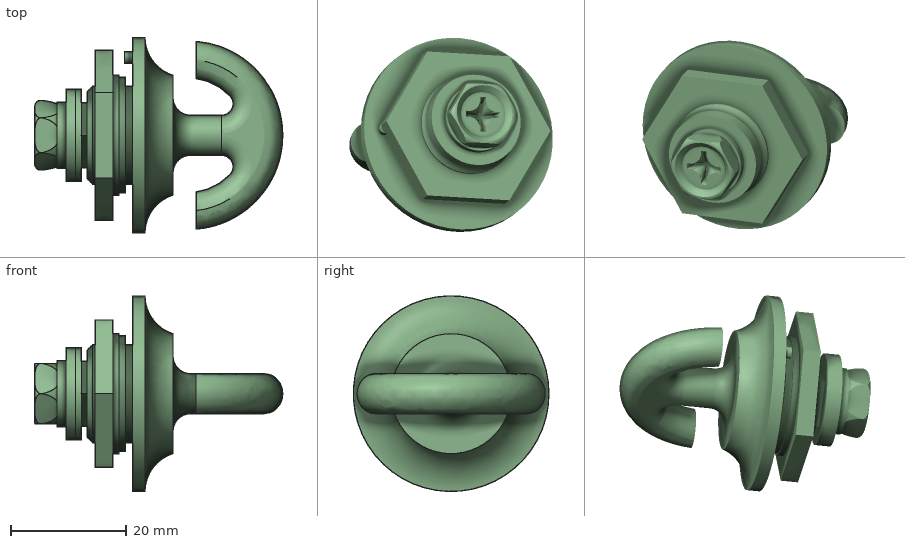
import cadquery as cq
import math

OVERALL_LENGTH = 43.1
HEAD_HEIGHT = 3.92
SPRING_WASHER_THICK = 1.55
PLAIN_WASHER_THICK = 1.6
SQUARE_WASHER_THICK = 1.05
NECK_GAP = 1.0
NUT_TO_SLEEVE_END = 1.42
NUT_THICK = 3.05
SEAL_WASHER_THICK = 1.05
LOCK_WASHER_THICK = 1.15
LOCK_WASHER_TO_FLANGE = 1.25
FLANGE_THICK = 2.15
BELL_LENGTH = 4.85

SPRING_WASHER_X = HEAD_HEIGHT
PLAIN_WASHER_X = SPRING_WASHER_X + SPRING_WASHER_THICK
NECK_X = PLAIN_WASHER_X + PLAIN_WASHER_THICK
SLEEVE_X = NECK_X + SQUARE_WASHER_THICK + NECK_GAP
NUT_X = SLEEVE_X + NUT_TO_SLEEVE_END
SEAL_WASHER_X = NUT_X + NUT_THICK
LOCK_WASHER_X = SEAL_WASHER_X + SEAL_WASHER_THICK
FLANGE_X = LOCK_WASHER_X + LOCK_WASHER_THICK + LOCK_WASHER_TO_FLANGE
BELL_X = FLANGE_X + FLANGE_THICK
BELL_END_X = BELL_X + BELL_LENGTH

HEAD_FLATS = 10.5
HEAD_CORNER_RADIUS = HEAD_FLATS / 2 / math.cos(math.radians(30))
HEAD_ROUNDING = 1.08
HEAD_TAPER_MIDDLE_X = 2.6
HEAD_TAPER_MIDDLE_RADIUS = 5.85
HEAD_TAPER_END_X = 3.65
HEAD_TAPER_END_RADIUS = 5.55
HEAD_BACK_RADIUS = 5.45
BOWL_RIM_RADIUS = HEAD_CORNER_RADIUS - HEAD_ROUNDING
BOWL_FLOOR_RADIUS = 3.95
BOWL_DEPTH = 1.0
SHANK_RADIUS = 3.0
SHANK_DEPTH_IN_NECK = 10.0

WING_SPAN = 6.2
WING_WIDTH = 1.0
WING_FLOOR_SPAN = 4.6
WING_FLOOR_WIDTH = 0.6
WING_DEPTH = 1.72
RECESS_TIP_DEPTH = 2.35
THROAT_REACH = 2.15
THROAT_HALF_WIDTH = 0.6
THROAT_MIDDLE = 1.1
THROAT_FLOOR_RATIO = 0.4

SPRING_WASHER_RADIUS = 5.78
PLAIN_WASHER_RADIUS = 8.0
SEAL_WASHER_RADIUS = 10.47
LOCK_WASHER_RADIUS = 10.1
NUT_FLATS = 25.6

NECK_SIDE = 8.0
SLEEVE_RADIUS = 8.55
SLEEVE_CHAMFER = 1.0
FLANGE_DIAMETER = 34.0
FLANGE_RADIUS = FLANGE_DIAMETER / 2
BELL_CURVE_RADIUS = 6.9
PIN_RADIUS = 1.05
PIN_LENGTH = 1.42
PIN_Y = 13.5

SHAFT_RADIUS = 3.5
SHAFT_ROOT_FILLET = 3.0
HOOK_OUTER_RADIUS = 16.38
HOOK_INNER_RADIUS = 9.9
HOOK_CENTRE_X = OVERALL_LENGTH - HOOK_OUTER_RADIUS
HOOK_TIP_X = 28.05
HOOK_HALF_WIDTH = (HOOK_OUTER_RADIUS - HOOK_INNER_RADIUS) / 2
HOOK_MID_RADIUS = HOOK_INNER_RADIUS + HOOK_HALF_WIDTH
NOTCH_RADIUS = 2.0

NOTCH_Y = SHAFT_RADIUS + NOTCH_RADIUS
NOTCH_OFFSET = HOOK_INNER_RADIUS - NOTCH_RADIUS
NOTCH_X = HOOK_CENTRE_X + math.sqrt(NOTCH_OFFSET**2 - NOTCH_Y**2)
NOTCH_ANGLE = math.asin(NOTCH_Y / NOTCH_OFFSET)
NOTCH_MID_RADIUS = NOTCH_RADIUS + HOOK_HALF_WIDTH


def cylinder(x, length, radius):
    """Cylinder on the X axis from x to x + length."""
    return cq.Workplane("YZ", origin=(x, 0, 0)).circle(radius).extrude(length)


def ring(x, thickness, outer_radius, bore_radius):
    """Flat ring on the X axis."""
    return cylinder(x, thickness, outer_radius).cut(cylinder(x, thickness, bore_radius))


def hexagon(x, length, flats):
    """Hexagonal prism on the X axis with two flats facing up and down."""
    corner_diameter = flats / math.cos(math.radians(30))
    return cq.Workplane("YZ", origin=(x, 0, 0)).polygon(6, corner_diameter).extrude(length)


def square_bar(x, length):
    """Square bar on the X axis with its edges up, down and to the sides."""
    turned = cq.Workplane("YZ", origin=(x, 0, 0)).transformed(rotate=(0, 0, 45))
    return turned.rect(NECK_SIDE, NECK_SIDE).extrude(length)


def turn(profile):
    """Revolve a closed (x, radius) profile about the X axis."""
    return profile.close().revolve(360, (0, 0, 0), (1, 0, 0))


def throat_outline(plane, ratio):
    """Star of four inward arcs joined by short ends across the wings."""
    near = THROAT_HALF_WIDTH * ratio
    far = THROAT_REACH * ratio
    middle = THROAT_MIDDLE * ratio
    outline = plane.moveTo(far, -near)
    for cosine, sine in ((1, 0), (0, 1), (-1, 0), (0, -1)):
        quarter = [
            (y * cosine - z * sine, y * sine + z * cosine)
            for y, z in ((far, near), (middle, middle), (near, far))
        ]
        outline = outline.lineTo(*quarter[0]).threePointArc(quarter[1], quarter[2])
    return outline.close()


def cross_recess():
    mouth = cq.Workplane("YZ", origin=(BOWL_DEPTH, 0, 0))
    throat = throat_outline(mouth, 1)
    throat = throat_outline(throat.workplane(offset=WING_DEPTH), THROAT_FLOOR_RATIO).loft(ruled=True)
    wing = (
        mouth.rect(WING_SPAN, WING_WIDTH)
        .workplane(offset=WING_DEPTH)
        .rect(WING_FLOOR_SPAN, WING_FLOOR_WIDTH)
        .loft(ruled=True)
    )
    wing_floor_x = BOWL_DEPTH + WING_DEPTH
    wing_tip = (
        cq.Workplane("XY")
        .moveTo(wing_floor_x, -WING_FLOOR_SPAN / 2)
        .lineTo(wing_floor_x, WING_FLOOR_SPAN / 2)
        .lineTo(BOWL_DEPTH + RECESS_TIP_DEPTH, 0)
        .close()
        .extrude(WING_FLOOR_WIDTH / 2, both=True)
    )
    recess = throat
    for angle in (0, 90):
        for cutter in (wing, wing_tip):
            recess = recess.union(cutter.rotate((0, 0, 0), (1, 0, 0), angle))
    return recess


def make_screw():
    arc_x = HEAD_ROUNDING * (1 - math.sqrt(0.5))
    arc_radius = BOWL_RIM_RADIUS + HEAD_ROUNDING * math.sqrt(0.5)
    envelope = turn(
        cq.Workplane("XY")
        .moveTo(0, 0)
        .lineTo(0, BOWL_RIM_RADIUS)
        .threePointArc((arc_x, arc_radius), (HEAD_ROUNDING, HEAD_CORNER_RADIUS))
        .threePointArc(
            (HEAD_TAPER_MIDDLE_X, HEAD_TAPER_MIDDLE_RADIUS), (HEAD_TAPER_END_X, HEAD_TAPER_END_RADIUS)
        )
        .lineTo(HEAD_HEIGHT, HEAD_BACK_RADIUS)
        .lineTo(HEAD_HEIGHT, 0)
    )
    bowl = turn(
        cq.Workplane("XY")
        .moveTo(0, 0)
        .lineTo(0, BOWL_RIM_RADIUS)
        .lineTo(BOWL_DEPTH, BOWL_FLOOR_RADIUS)
        .lineTo(BOWL_DEPTH, 0)
    )
    head = hexagon(0, HEAD_HEIGHT, HEAD_FLATS).intersect(envelope)
    shank = cylinder(HEAD_HEIGHT, NECK_X + SHANK_DEPTH_IN_NECK - HEAD_HEIGHT, SHANK_RADIUS)
    return head.union(shank).cut(bowl).cut(cross_recess())


def make_square_washer():
    disc = cylinder(NECK_X, SQUARE_WASHER_THICK, PLAIN_WASHER_RADIUS)
    return disc.cut(square_bar(NECK_X, SQUARE_WASHER_THICK))


def make_nut():
    return hexagon(NUT_X, NUT_THICK, NUT_FLATS).cut(cylinder(NUT_X, NUT_THICK, SLEEVE_RADIUS))


def bell_point(angle):
    """Point (x, radius) on the flare of the bell, at an angle swept from the flange rim."""
    return (
        BELL_X + BELL_CURVE_RADIUS * (1 - math.cos(angle)),
        FLANGE_RADIUS - BELL_CURVE_RADIUS * math.sin(angle),
    )


def anchor_body():
    """Sleeve, flange, flared bell and the filleted root of the hook shaft."""
    bell_sweep = math.acos(1 - BELL_LENGTH / BELL_CURVE_RADIUS)
    fillet_centre_x = BELL_END_X + SHAFT_ROOT_FILLET
    fillet_centre_radius = SHAFT_RADIUS + SHAFT_ROOT_FILLET
    fillet_reach = SHAFT_ROOT_FILLET * math.sqrt(0.5)
    return turn(
        cq.Workplane("XY")
        .moveTo(SLEEVE_X, 0)
        .lineTo(SLEEVE_X, SLEEVE_RADIUS - SLEEVE_CHAMFER)
        .lineTo(SLEEVE_X + SLEEVE_CHAMFER, SLEEVE_RADIUS)
        .lineTo(FLANGE_X, SLEEVE_RADIUS)
        .lineTo(FLANGE_X, FLANGE_RADIUS)
        .lineTo(BELL_X, FLANGE_RADIUS)
        .threePointArc(bell_point(bell_sweep / 2), bell_point(bell_sweep))
        .lineTo(BELL_END_X, fillet_centre_radius)
        .threePointArc(
            (fillet_centre_x - fillet_reach, fillet_centre_radius - fillet_reach),
            (fillet_centre_x, SHAFT_RADIUS),
        )
        .lineTo(NOTCH_X, SHAFT_RADIUS)
        .lineTo(NOTCH_X, 0)
    )


def curved_edge(centre, mid_radius, start_angle, end_angle, faces_centre):
    """Half-oval rod bent about a vertical axis; its round side faces the axis or away from it."""
    round_from = 90 if faces_centre else -90
    first_z = SHAFT_RADIUS if faces_centre else -SHAFT_RADIUS
    return (
        cq.Workplane("XZ")
        .moveTo(mid_radius, first_z)
        .ellipseArc(HOOK_HALF_WIDTH, SHAFT_RADIUS, round_from, round_from + 180, startAtCurrent=True)
        .close()
        .revolve(math.degrees(end_angle - start_angle), (0, 0, 0), (0, 1, 0))
        .rotate((0, 0, 0), (0, 0, 1), math.degrees(start_angle))
        .translate(centre)
    )


def hook_edges():
    """Round edges of the hook, with both tips cut flat."""
    hook_centre = (HOOK_CENTRE_X, 0, 0)
    notch_centre = (NOTCH_X, NOTCH_Y, 0)
    quarter = math.pi / 2
    size = 4 * HOOK_OUTER_RADIUS
    beyond_tips = cq.Workplane("XY").box(size, size, size).translate((HOOK_TIP_X + size / 2, 0, 0))

    outer_edge = curved_edge(hook_centre, HOOK_MID_RADIUS, -quarter, quarter, False)
    inner_edge = curved_edge(hook_centre, HOOK_MID_RADIUS, NOTCH_ANGLE, quarter, True)
    bend = curved_edge(notch_centre, NOTCH_MID_RADIUS, -quarter, NOTCH_ANGLE, True)
    tipped_inner_edge = inner_edge.intersect(beyond_tips)
    return [
        outer_edge.intersect(beyond_tips),
        tipped_inner_edge,
        tipped_inner_edge.mirror("XZ"),
        bend,
        bend.mirror("XZ"),
    ]


def on_notch_line(angle):
    """Point on the middle line of the bend on the +Y side."""
    return (
        NOTCH_X + NOTCH_MID_RADIUS * math.cos(angle),
        NOTCH_Y + NOTCH_MID_RADIUS * math.sin(angle),
    )


def hook_web():
    """Flat plate that fills the middle of the hook between the bends."""
    start = on_notch_line(-math.pi / 2)
    bend_middle = on_notch_line((NOTCH_ANGLE - math.pi / 2) / 2)
    joint = on_notch_line(NOTCH_ANGLE)
    return (
        cq.Workplane("XY")
        .moveTo(start[0], -start[1])
        .lineTo(*start)
        .threePointArc(bend_middle, joint)
        .threePointArc((HOOK_CENTRE_X + HOOK_MID_RADIUS, 0), (joint[0], -joint[1]))
        .threePointArc((bend_middle[0], -bend_middle[1]), (start[0], -start[1]))
        .close()
        .extrude(SHAFT_RADIUS, both=True)
    )


def make_anchor():
    neck = square_bar(NECK_X, SLEEVE_X - NECK_X)
    pin = cylinder(FLANGE_X - PIN_LENGTH, PIN_LENGTH, PIN_RADIUS).translate((0, PIN_Y, 0))
    anchor = anchor_body().union(neck).union(pin).union(hook_web())
    for edge in hook_edges():
        anchor = anchor.union(edge)
    return anchor.cut(cylinder(NECK_X, SHANK_DEPTH_IN_NECK, SHANK_RADIUS))


screw = make_screw()
spring_washer = ring(SPRING_WASHER_X, SPRING_WASHER_THICK, SPRING_WASHER_RADIUS, SHANK_RADIUS)
plain_washer = ring(PLAIN_WASHER_X, PLAIN_WASHER_THICK, PLAIN_WASHER_RADIUS, SHANK_RADIUS)
square_washer = make_square_washer()
nut = make_nut()
seal_washer = ring(SEAL_WASHER_X, SEAL_WASHER_THICK, SEAL_WASHER_RADIUS, SLEEVE_RADIUS)
lock_washer = ring(LOCK_WASHER_X, LOCK_WASHER_THICK, LOCK_WASHER_RADIUS, SLEEVE_RADIUS)
anchor = make_anchor()

bodies = (screw, spring_washer, plain_washer, square_washer, nut, seal_washer, lock_washer, anchor)
result = cq.Compound.makeCompound([body.solids().val() for body in bodies])